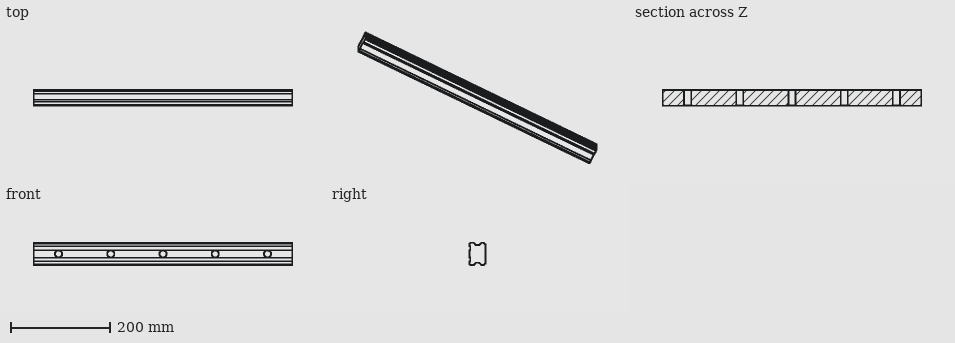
import cadquery as cq
import math

length = 520.0
depth = 32.0
width = 45.0

half_depth = depth / 2
half_width = width / 2
waist_half_width = 18.0
waist_back = 3.0
waist_front = -3.5

cove_radius = 3.0
back_flange_inner = 8.5
back_chamfer = 2.5
raceway_bulge = 0.25

front_flange_inner = -7.5
front_chamfer = 2.0

groove_inner = 7.5
groove_outer = 15.0
groove_depth = 1.3

hole_diameter = 14.0
hole_pitch = 105.0
hole_count = 5


def half_section():
    """Section on the +Z side of the rail's middle plane, as (Y, Z) points."""
    cove_middle = (
        half_depth - cove_radius * math.cos(math.pi / 4),
        half_width - cove_radius * math.sin(math.pi / 4),
    )
    raceway_start = (back_flange_inner - back_chamfer, half_width - back_chamfer)
    raceway_middle = (
        (raceway_start[0] + waist_back) / 2 + raceway_bulge,
        (raceway_start[1] + waist_half_width) / 2 - raceway_bulge,
    )
    return (
        cq.Workplane("YZ", origin=(-length / 2, 0, 0))
        .moveTo(half_depth, 0)
        .lineTo(half_depth, half_width - cove_radius)
        .threePointArc(cove_middle, (half_depth - cove_radius, half_width))
        .lineTo(back_flange_inner, half_width)
        .lineTo(*raceway_start)
        .threePointArc(raceway_middle, (waist_back, waist_half_width))
        .lineTo(waist_front, waist_half_width)
        .lineTo(front_flange_inner, half_width)
        .lineTo(-half_depth + front_chamfer, half_width)
        .lineTo(-half_depth, half_width - front_chamfer)
        .lineTo(-half_depth, groove_outer)
        .lineTo(-half_depth + groove_depth, groove_outer)
        .lineTo(-half_depth + groove_depth, groove_inner)
        .lineTo(-half_depth, groove_inner)
        .lineTo(-half_depth, 0)
        .close()
    )


def mounting_holes():
    """Row of plain holes running through the depth of the rail."""
    return (
        cq.Workplane("XZ", origin=(0, half_depth, 0))
        .rarray(hole_pitch, 5, hole_count, 1)
        .circle(hole_diameter / 2)
        .extrude(depth)
    )


half_rail = half_section().extrude(length)
rail = half_rail.union(half_rail.mirror("XY")).clean()
result = rail.cut(mounting_holes())